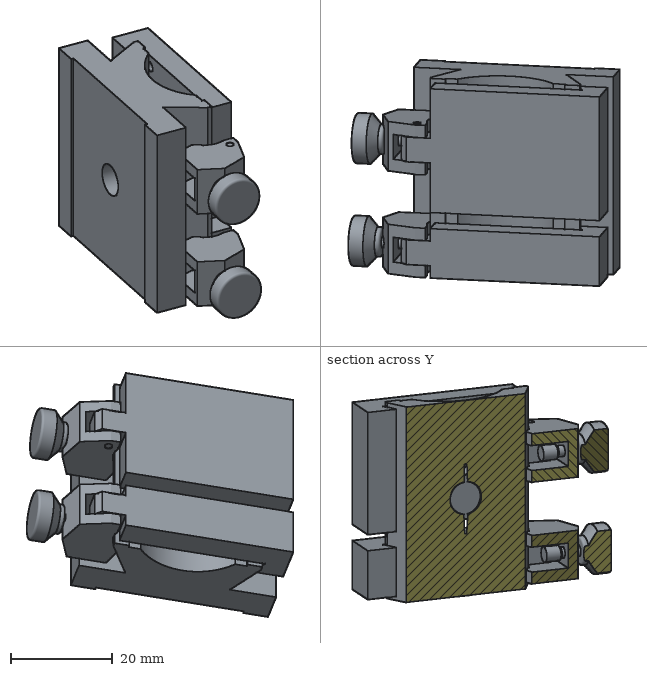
import cadquery as cq
import math


RAIL_LENGTH = 40.0
RAIL_HALF_WIDTH = 20.0
PLATE_TOP = 6.5
FOOT_INNER_X = 15.0
FOOT_HEIGHT = 0.5
NECK_HALF_WIDTH = 10.6
DOVETAIL_HALF_WIDTH = 15.0
DOVETAIL_ANGLE = math.radians(30)
RAIL_TOP = 15.0
LAND_INNER_X = 12.0
LAND_HEIGHT = 0.5
TROUGH_BOTTOM = 10.0
TROUGH_RADIUS = 12.5
MOUNT_HOLE_RADIUS = 3.25

SLIDE_TOP = 20.0
SLIDE_HOOK_BOTTOM = 12.0
HOOK_TIP_X = -14.0
SLIDE_RIGHT_X = 14.0
LUG_END_X = RAIL_HALF_WIDTH
LUG_CHAMFER = 1.2
LUG_THICKNESS = 5.0
LONG_SLIDE_LENGTH = 25.0
SHORT_SLIDE_LENGTH = 10.0
SLIDE_INSET = 0.85
LONG_SLIDE_Z = RAIL_LENGTH / 2 - SLIDE_INSET - LONG_SLIDE_LENGTH / 2
SHORT_SLIDE_Z = -RAIL_LENGTH / 2 + SLIDE_INSET + SHORT_SLIDE_LENGTH / 2
SLIDE_BORE_RADIUS = 4.0
SLIDE_HOLE_DEPTH = 2.5
CORNER_HOLE_RADIUS = 0.95
CORNER_HOLE_SPACING = 20.0

JAW_WIDTH = 10.0
JAW_BOTTOM = 7.5
JAW_TOP = 19.85
JAW_BOTTOM_LEFT_X = 14.8
JAW_SHOULDER_X = 22.8
JAW_SHOULDER_Y = 18.0
JAW_APEX_X = 24.95
JAW_SLOT_END_X = 21.7
CONTACT_LOW_Y = 11.55
CONTACT_HIGH_Y = 12.65
RELIEF_CORNER = (14.8, 13.25)
HEEL_X = 15.0
HEEL_HOLLOW_X = 15.4
HEEL_HOLLOW_LOW_X = 15.2
HEEL_HOLLOW_LOW_Y = 14.4
HEEL_HOLLOW_HIGH_Y = 17.5

PIN_X = 17.0
PIN_Y = 18.0
PIN_RADIUS = 0.75
PIN_END_ROUND = 0.25

SCREW_Y = 12.5
LONG_SCREW_END_X = 30.35
SHORT_SCREW_END_X = 31.05
KNOB_RADIUS = 5.0
KNOB_LENGTH = 3.05
KNOB_ROUND = 0.5
CONE_LENGTH = 1.9
COLLAR_RADIUS = 2.95
COLLAR_LENGTH = 1.0
COLLAR_ROUND = 0.5
SHANK_RADIUS = 1.1
SHANK_LENGTH = 4.0
THREAD_RADIUS = 1.55
THREAD_LENGTH = 3.4


def dovetail_x(y):
    """Half width of the dovetail flank at height y."""
    return NECK_HALF_WIDTH + (y - PLATE_TOP) * math.tan(DOVETAIL_ANGLE)


def dovetail_y(half_width):
    """Height at which the dovetail flank has the given half width."""
    return PLATE_TOP + (half_width - NECK_HALF_WIDTH) / math.tan(DOVETAIL_ANGLE)


def bar(outline, length, z_centre):
    """Closed XY outline extruded along Z, centred on z_centre."""
    return outline.close().extrude(length / 2, both=True).translate((0, 0, z_centre))


def make_rail():
    land_bottom = RAIL_TOP - LAND_HEIGHT
    trough_centre = TROUGH_BOTTOM + TROUGH_RADIUS
    trough_half_width = math.sqrt(TROUGH_RADIUS**2 - (trough_centre - land_bottom) ** 2)
    right_side = [
        (FOOT_INNER_X, FOOT_HEIGHT),
        (FOOT_INNER_X, 0),
        (RAIL_HALF_WIDTH, 0),
        (RAIL_HALF_WIDTH, PLATE_TOP),
        (NECK_HALF_WIDTH, PLATE_TOP),
        (DOVETAIL_HALF_WIDTH, dovetail_y(DOVETAIL_HALF_WIDTH)),
        (DOVETAIL_HALF_WIDTH, RAIL_TOP),
        (LAND_INNER_X, RAIL_TOP),
        (LAND_INNER_X, land_bottom),
        (trough_half_width, land_bottom),
    ]
    left_side = [(-x, y) for x, y in reversed(right_side)]
    outline = (
        cq.Workplane("XY")
        .polyline(right_side)
        .threePointArc((0, TROUGH_BOTTOM), left_side[0])
        .polyline(left_side[1:], includeCurrent=True)
    )
    mount_hole = cq.Workplane("XZ").circle(MOUNT_HOLE_RADIUS).extrude(-RAIL_TOP)
    return bar(outline, RAIL_LENGTH, 0).cut(mount_hole)


def make_slide(length, z_centre):
    """Plate with a hook over the left flank and a hinge lug on the right."""
    body = cq.Workplane("XY").polyline([
        (-RAIL_HALF_WIDTH, SLIDE_TOP),
        (-RAIL_HALF_WIDTH, SLIDE_HOOK_BOTTOM),
        (HOOK_TIP_X, SLIDE_HOOK_BOTTOM),
        (HOOK_TIP_X, dovetail_y(-HOOK_TIP_X)),
        (-dovetail_x(RAIL_TOP), RAIL_TOP),
        (SLIDE_RIGHT_X, RAIL_TOP),
        (SLIDE_RIGHT_X, SLIDE_TOP),
    ])
    lug = cq.Workplane("XY").polyline([
        (SLIDE_RIGHT_X, SLIDE_TOP),
        (SLIDE_RIGHT_X, RAIL_TOP),
        (LUG_END_X, RAIL_TOP),
        (LUG_END_X, SLIDE_TOP - LUG_CHAMFER),
        (LUG_END_X - LUG_CHAMFER, SLIDE_TOP),
    ])
    return bar(body, length, z_centre).union(bar(lug, LUG_THICKNESS, z_centre))


def make_slide_holes():
    """Blind holes in the underside of the long slide: a centre bore and a square of four."""
    holes = (
        cq.Workplane("XZ")
        .circle(SLIDE_BORE_RADIUS)
        .rect(CORNER_HOLE_SPACING, CORNER_HOLE_SPACING, forConstruction=True)
        .vertices()
        .circle(CORNER_HOLE_RADIUS)
        .extrude(-SLIDE_HOLE_DEPTH)
    )
    return holes.translate((0, RAIL_TOP, LONG_SLIDE_Z))


def make_jaw(z_centre, screw):
    """Forked jaw that straddles the lug and is bored to fit its screw."""
    hollow_middle_y = (HEEL_HOLLOW_LOW_Y + HEEL_HOLLOW_HIGH_Y) / 2
    outline = (
        cq.Workplane("XY")
        .moveTo(HEEL_X, HEEL_HOLLOW_HIGH_Y)
        .lineTo(HEEL_X, JAW_TOP)
        .lineTo(PIN_X, JAW_TOP)
        .lineTo(JAW_SHOULDER_X, JAW_SHOULDER_Y)
        .lineTo(JAW_APEX_X, SCREW_Y)
        .lineTo(JAW_SHOULDER_X, JAW_BOTTOM)
        .lineTo(JAW_BOTTOM_LEFT_X, JAW_BOTTOM)
        .lineTo(dovetail_x(CONTACT_LOW_Y), CONTACT_LOW_Y)
        .lineTo(dovetail_x(CONTACT_HIGH_Y), CONTACT_HIGH_Y)
        .lineTo(*RELIEF_CORNER)
        .lineTo(HEEL_HOLLOW_LOW_X, HEEL_HOLLOW_LOW_Y)
        .threePointArc((HEEL_HOLLOW_X, hollow_middle_y), (HEEL_X, HEEL_HOLLOW_HIGH_Y))
    )
    slot = (
        cq.Workplane("XY")
        .box(JAW_SLOT_END_X, SLIDE_TOP, LUG_THICKNESS, centered=(False, False, True))
        .translate((0, 0, z_centre))
    )
    return bar(outline, JAW_WIDTH, z_centre).cut(slot).cut(screw)


def make_screw(end_x, z_centre):
    """Thumb screw revolved about its axis along X, from the knob end to the threaded tip."""
    thread_chamfer = THREAD_RADIUS - SHANK_RADIUS
    cone_end = end_x - KNOB_LENGTH
    collar_end = cone_end - CONE_LENGTH
    collar_face = collar_end - COLLAR_LENGTH
    thread_end = collar_face - SHANK_LENGTH
    arc_offset = 1 - math.sqrt(0.5)
    profile = (
        cq.Workplane("XY")
        .moveTo(end_x, 0)
        .lineTo(end_x, KNOB_RADIUS - KNOB_ROUND)
        .threePointArc(
            (end_x - KNOB_ROUND * arc_offset, KNOB_RADIUS - KNOB_ROUND * arc_offset),
            (end_x - KNOB_ROUND, KNOB_RADIUS),
        )
        .lineTo(cone_end, KNOB_RADIUS)
        .lineTo(collar_end, COLLAR_RADIUS)
        .lineTo(collar_face + COLLAR_ROUND, COLLAR_RADIUS)
        .threePointArc(
            (collar_face + COLLAR_ROUND * arc_offset, COLLAR_RADIUS - COLLAR_ROUND * arc_offset),
            (collar_face, COLLAR_RADIUS - COLLAR_ROUND),
        )
        .lineTo(collar_face, SHANK_RADIUS)
        .lineTo(thread_end, SHANK_RADIUS)
        .lineTo(thread_end - thread_chamfer, THREAD_RADIUS)
        .lineTo(thread_end - THREAD_LENGTH, THREAD_RADIUS)
        .lineTo(thread_end - THREAD_LENGTH, 0)
        .close()
    )
    return profile.revolve(360, (0, 0, 0), (1, 0, 0)).translate((0, SCREW_Y, z_centre))


def make_pin_blank():
    """Square-ended cylinder with the size of the hinge pin, also used to bore for it."""
    blank = cq.Workplane("XY").circle(PIN_RADIUS).extrude(JAW_WIDTH / 2, both=True)
    return blank.translate((PIN_X, PIN_Y, LONG_SLIDE_Z))


rail = make_rail()

slides = []
jaws = []
screws = []
for length, z_centre, screw_end_x in [
    (LONG_SLIDE_LENGTH, LONG_SLIDE_Z, LONG_SCREW_END_X),
    (SHORT_SLIDE_LENGTH, SHORT_SLIDE_Z, SHORT_SCREW_END_X),
]:
    screw = make_screw(screw_end_x, z_centre)
    screws.append(screw)
    slides.append(make_slide(length, z_centre))
    jaws.append(make_jaw(z_centre, screw))

pin_blank = make_pin_blank()
hinge_pin = pin_blank.faces("<Z or >Z").edges().fillet(PIN_END_ROUND)
slides[0] = slides[0].cut(make_slide_holes()).cut(pin_blank)
jaws[0] = jaws[0].cut(pin_blank)

bodies = [rail, *slides, *jaws, *screws, hinge_pin]
result = cq.Compound.makeCompound([body.val() for body in bodies])